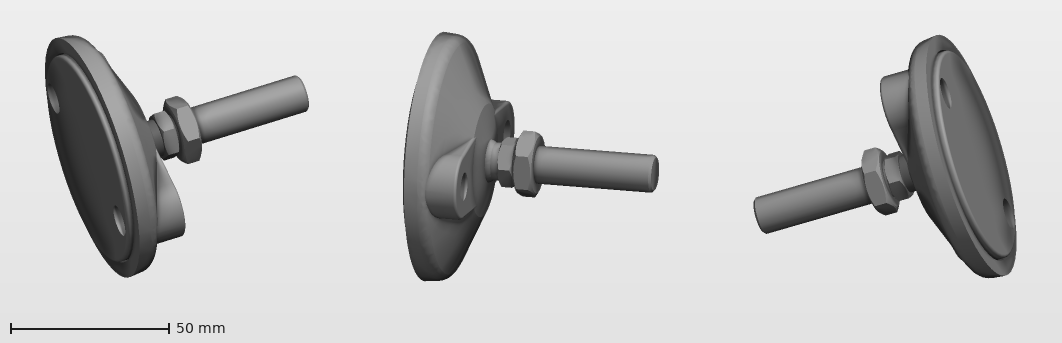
import cadquery as cq
import math


rim_radius = 39.5
rim_bottom = 2.0
shoulder_radius = 38.85
shoulder_height = 8.35
shoulder_fillet = 4.0
crown_radius = 18.0
crown_height = 18.2
socket_mouth_height = 20.0

screw_spacing = 55.0
boss_radius = 10.5
boss_height = 18.5
boss_fillet = 0.9
boss_flare_angle = 6.0
boss_inner_end = 9.0
housing_hole_diameter = 9.0

pad_radius = 34.0
pad_clearance = 0.5
pad_height = 8.0
pad_fillet = 1.0
pad_hole_diameter = 10.0

ball_radius = 7.5
stud_radius = 6.0
ball_shank_start = 21.55
ball_center = ball_shank_start - math.sqrt(ball_radius**2 - stud_radius**2)
stud_hex_flats = 14.0
stud_hex_face_diameter = 14.0
stud_hex_start = 24.1
stud_hex_length = 4.7
stud_hex_corner_angle = 0.0
neck_radius = 5.6
neck_length = 0.5
thread_end_chamfer = stud_radius - neck_radius
stud_tip = 73.7
stud_tip_chamfer = 0.75

nut_flats = 19.0
nut_face_diameter = 18.2
nut_length = 6.0
nut_corner_angle = 30.0

hex_chamfer_angle = 30.0

stud_hex_end = stud_hex_start + stud_hex_length
thread_start = stud_hex_end + neck_length + thread_end_chamfer
socket_mouth_radius = math.sqrt(ball_radius**2 - (socket_mouth_height - ball_center)**2)
screw_positions = (-screw_spacing / 2, screw_spacing / 2)


def revolve_about_y(profile):
    """Turn a closed (radius, height) profile in the XY plane about the Y axis."""
    return profile.revolve(360, (0, 0, 0), (0, 1, 0))


def plane_at(height):
    """Plane normal to +Y at a given height; its local x is X and its local y is -Z."""
    return cq.Workplane(cq.Plane(origin=(0, height, 0), xDir=(1, 0, 0), normal=(0, 1, 0)))


def cylinder(radius, start, end, x=0):
    """Cylinder along Y between two heights, with its axis offset along X."""
    return plane_at(start).center(x, 0).circle(radius).extrude(end - start)


def chamfered_hexagon(flats, face_diameter, start, length, corner_angle):
    """Hexagonal prism along Y with its corners turned down by a cone at both ends."""
    corner_radius = flats / math.sqrt(3)
    face_radius = face_diameter / 2
    drop = (corner_radius - face_radius) * math.tan(math.radians(hex_chamfer_angle))
    end = start + length
    prism = plane_at(start).polygon(6, 2 * corner_radius).extrude(length)
    prism = prism.rotate((0, 0, 0), (0, 1, 0), corner_angle)
    envelope = revolve_about_y(
        cq.Workplane("XY")
        .moveTo(0, start)
        .lineTo(face_radius, start)
        .lineTo(corner_radius, start + drop)
        .lineTo(corner_radius, end - drop)
        .lineTo(face_radius, end)
        .lineTo(0, end)
        .close()
    )
    return prism.intersect(envelope)


def ball():
    return cq.Workplane("XY").sphere(ball_radius).translate((0, ball_center, 0))


def make_boss(side):
    """Round-ended boss whose side walls flare out toward the housing axis."""
    center = side * screw_spacing / 2
    inner = side * boss_inner_end
    flare = (screw_spacing / 2 - boss_inner_end) * math.tan(math.radians(boss_flare_angle))
    inner_half_width = boss_radius + flare
    boss = (
        plane_at(rim_bottom)
        .moveTo(inner, inner_half_width)
        .lineTo(center, boss_radius)
        .threePointArc((center + side * boss_radius, 0), (center, -boss_radius))
        .lineTo(inner, -inner_half_width)
        .close()
        .extrude(boss_height - rim_bottom)
    )
    return boss.faces(">Y").edges("not |Z").fillet(boss_fillet)


def make_housing():
    body = revolve_about_y(
        cq.Workplane("XY")
        .moveTo(0, rim_bottom)
        .lineTo(rim_radius, rim_bottom)
        .lineTo(shoulder_radius, shoulder_height)
        .lineTo(crown_radius, crown_height)
        .lineTo(socket_mouth_radius, socket_mouth_height)
        .lineTo(0, socket_mouth_height)
        .close()
    )
    shoulder_edge = cq.selectors.NearestToPointSelector((0, shoulder_height, 0))
    body = body.edges(shoulder_edge).fillet(shoulder_fillet)
    for side in (-1, 1):
        body = body.union(make_boss(side))
    body = body.cut(cylinder(pad_radius + pad_clearance, rim_bottom, pad_height))
    for x in screw_positions:
        body = body.cut(cylinder(housing_hole_diameter / 2, rim_bottom, boss_height, x))
    return body.cut(ball())


def make_pad():
    pad = cylinder(pad_radius, 0, pad_height).edges("<Y").fillet(pad_fillet)
    for x in screw_positions:
        pad = pad.cut(cylinder(pad_hole_diameter / 2, 0, pad_height, x))
    return pad


def make_stud():
    shank = cylinder(stud_radius, ball_center, stud_hex_start)
    hexagon = chamfered_hexagon(
        stud_hex_flats, stud_hex_face_diameter, stud_hex_start, stud_hex_length, stud_hex_corner_angle
    )
    neck = cylinder(neck_radius, stud_hex_end, thread_start)
    thread = (
        cylinder(stud_radius, stud_hex_end + neck_length, stud_tip)
        .edges("<Y")
        .chamfer(thread_end_chamfer)
        .edges(">Y")
        .chamfer(stud_tip_chamfer)
    )
    return ball().union(shank).union(hexagon).union(neck).union(thread)


def make_nut():
    nut = chamfered_hexagon(nut_flats, nut_face_diameter, thread_start, nut_length, nut_corner_angle)
    return nut.cut(cylinder(stud_radius, thread_start, thread_start + nut_length))


housing = make_housing()
pad = make_pad()
stud = make_stud()
nut = make_nut()

result = cq.Compound.makeCompound(
    [
        *housing.solids().vals(),
        *pad.solids().vals(),
        *stud.solids().vals(),
        *nut.solids().vals(),
    ]
)